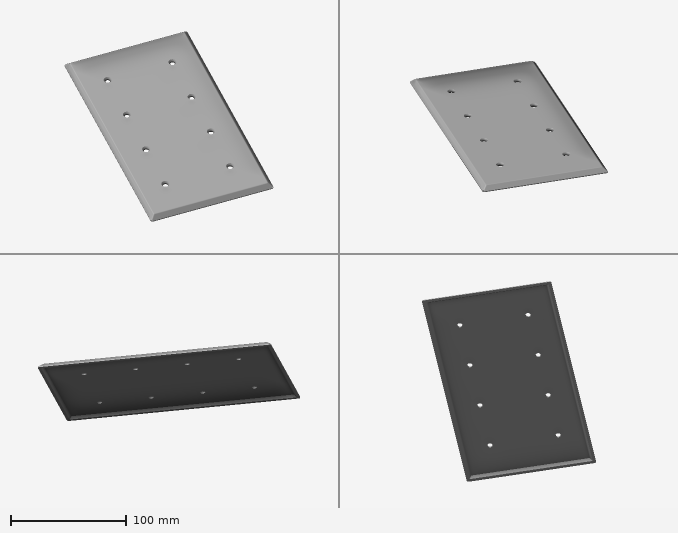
import cadquery as cq

length = 208.0
width = 114.4
height = 4.8
rim_height = 0.8
corner_radius = 1.7
top_edge_radius = 1.5
wall = 2.7

hole_columns = 4
hole_rows = 2
column_pitch = 46.0
row_pitch = 60.3
hole_diameter = 4.5
countersink_diameter = 7.0
countersink_angle = 82.0

bevel_angle = 45.0
bevel = height - rim_height


def make_outer_body():
    """Plate with bevelled sides, rounded corners and a rounded top edge."""
    body = cq.Workplane("XY").box(length, width, height, centered=(True, True, False))
    body = body.faces(">Z").chamfer(bevel)
    body = body.edges("not(#Z)").fillet(corner_radius)
    return body.faces(">Z").edges().fillet(top_edge_radius)


def make_back_cavity():
    """Hollow in the back whose sides lean in parallel to the outer bevel."""
    opening = cq.Workplane("XY").rect(length - 2 * wall, width - 2 * wall)
    return opening.extrude(height - wall, taper=bevel_angle)


def drill_screw_holes(body):
    """Grid of countersunk through holes centred on the plate."""
    grid = body.faces(">Z").workplane(origin=(0, 0, height))
    grid = grid.rarray(column_pitch, row_pitch, hole_columns, hole_rows)
    return grid.cskHole(hole_diameter, countersink_diameter, countersink_angle)


hollow_plate = make_outer_body().cut(make_back_cavity())
result = drill_screw_holes(hollow_plate)